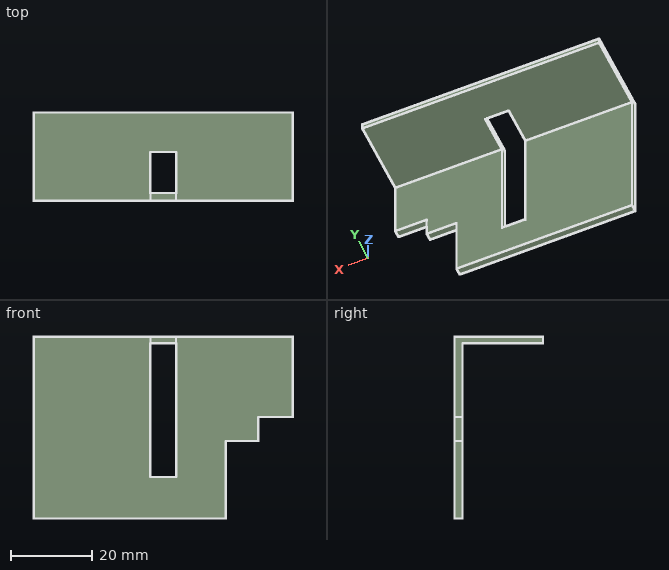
import cadquery as cq

length = 63.8
depth = 21.8
height = 44.8

wall_thickness = 2.0
top_thickness = 1.7

slot_width = 6.3
slot_start = (length - slot_width) / 2
slot_depth = 12.0
slot_floor = 10.3

bottom_length = 47.3
step_length = 55.3
step_height = 19.1
upper_height = 25.0


def make_wall():
    """Upright leg in the XZ plane, with the lower +X corner stepped away."""
    outline = [
        (0, 0),
        (bottom_length, 0),
        (bottom_length, step_height),
        (step_length, step_height),
        (step_length, upper_height),
        (length, upper_height),
        (length, height),
        (0, height),
    ]
    return cq.Workplane("XZ").polyline(outline).close().extrude(-wall_thickness)


def make_top():
    """Flat leg along the upper edge of the wall."""
    plate = cq.Workplane("XY").box(length, depth, top_thickness, centered=False)
    return plate.translate((0, 0, height - top_thickness))


def make_slot_cutter():
    """Block that opens the slot in the wall and in the top leg."""
    cutter = cq.Workplane("XY").box(slot_width, slot_depth, height - slot_floor, centered=False)
    return cutter.translate((slot_start, 0, slot_floor))


result = make_wall().union(make_top()).cut(make_slot_cutter())